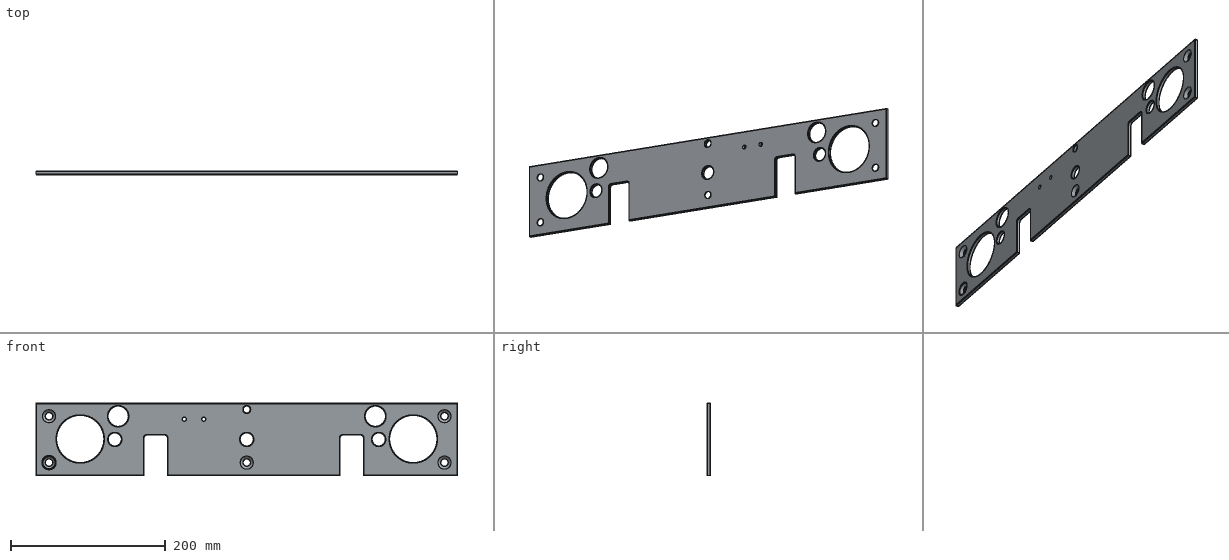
import cadquery as cq

length = 544.0
thickness = 5.0
height = 93.5
edge_break = 0.8

screw_diameter = 9.0
screw_head_diameter = 17.0
countersink_angle = 90.0
screw_x = 255.0
screw_z = 30.0

large_diameter = 61.0
large_x = 215.0
large_z = 0.5
medium_diameter = 26.0
medium_x = 166.0
medium_z = 30.0
small_diameter = 17.0
small_x = 170.0
locating_diameter = 8.5
locating_z = 38.5
pin_diameter = 5.0
pin_z = 26.0
pin_xs = (-80.5, -55.5)

slot_width = 30.0
slot_top_z = 5.5
slot_corner_radius = 3.0
slot_xs = (-117.5, 135.5)


def front_plane():
    """Workplane on the front face with its normal pointing out of the plate (-Y)."""
    return cq.Workplane("XZ", origin=(0, -thickness / 2, 0))


def drill(plate, diameter, centres):
    """Cut plain holes through the full thickness."""
    drills = front_plane().pushPoints(centres).circle(diameter / 2).extrude(-thickness)
    return plate.cut(drills)


def drill_countersunk(plate, centres):
    """Cut screw holes countersunk from the front face."""
    return (
        plate.copyWorkplane(front_plane())
        .pushPoints(centres)
        .cskHole(screw_diameter, screw_head_diameter, countersink_angle)
    )


def open_slot(x):
    """Cutter for a slot with rounded upper corners, running out of the lower edge."""
    slot_height = slot_top_z + height / 2
    return (
        cq.Workplane("XY")
        .box(slot_width, thickness, slot_height)
        .edges("|Y and >Z")
        .fillet(slot_corner_radius)
        .translate((x, 0, slot_top_z - slot_height / 2))
    )


plate = cq.Workplane("XY").box(length, thickness, height)

for slot_x in slot_xs:
    plate = plate.cut(open_slot(slot_x))

plate = drill(plate, large_diameter, [(-large_x, large_z), (large_x, large_z)])
plate = drill(plate, medium_diameter, [(-medium_x, medium_z), (medium_x, medium_z)])
plate = drill(plate, small_diameter, [(-small_x, 0), (0, 0), (small_x, 0)])
plate = drill(plate, locating_diameter, [(0, locating_z)])

plate = plate.faces(">Y").edges().chamfer(edge_break)
plate = drill_countersunk(plate, [(-screw_x, -screw_z)])
plate = plate.faces("<Y").edges().chamfer(edge_break)

plate = drill(plate, pin_diameter, [(x, pin_z) for x in pin_xs])
plate = drill_countersunk(
    plate,
    [(-screw_x, screw_z), (screw_x, screw_z), (screw_x, -screw_z), (0, -screw_z)],
)

result = plate